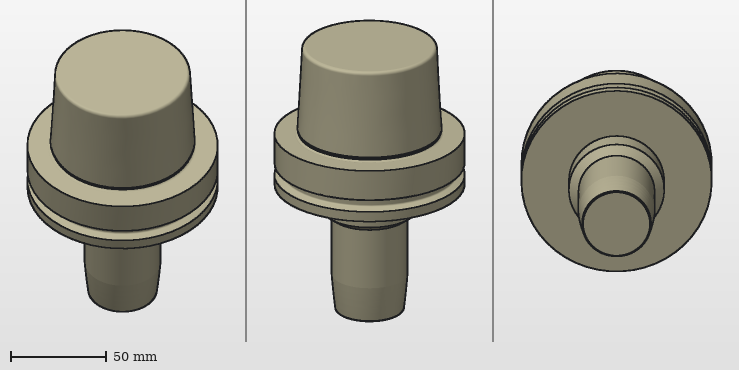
import cadquery as cq
import math

total_height = 149.9
flange_top = 100.0
flange_bottom = 71.0
boss_bottom = 57.0
shank_top = 53.4

flange_radius = 100.0 / 2
boss_radius = 25.0
shank_radius = 40.0 / 2

head_base_radius = 37.9
head_rim_radius = 35.5
rim_round = 2.0
head_base = 102.5
neck_radius = 37.3
neck_top = 101.8
neck_bottom = 100.9
neck_foot_radius = 39.3

groove_top = 83.2
groove_bottom = 76.6
groove_wall_inner_radius = 46.6
groove_wall_drop = 1.2
groove_floor_radius = 45.9
groove_floor_width = 2.2

tip_band_count = 5
tip_band_height = 3.9
tip_first_angle = 4.5
tip_angle_step = 0.5
tip_chamfer_height = 0.6
tip_chamfer_width = 0.6


def tip_points():
    """Outline of the shank tip, from its upper end to the chamfered end face."""
    radius = shank_radius
    height = tip_band_count * tip_band_height + tip_chamfer_height
    points = [(radius, height)]
    for band in range(tip_band_count):
        angle = math.radians(tip_first_angle + band * tip_angle_step)
        radius -= tip_band_height * math.tan(angle)
        height -= tip_band_height
        points.append((radius, height))
    points.append((radius - tip_chamfer_width, 0))
    return points


def add_head(outline):
    """Rounded rim, taper, neck and the concave foot meeting the flange."""
    diagonal = rim_round * math.sqrt(0.5)
    rim_center_radius = head_rim_radius - rim_round
    rim_center_height = total_height - rim_round
    foot_width = neck_foot_radius - neck_radius
    foot_height = neck_bottom - flange_top
    foot_middle = (
        neck_foot_radius - foot_width * math.sqrt(0.5),
        neck_bottom - foot_height * math.sqrt(0.5),
    )
    return (
        outline.lineTo(rim_center_radius, total_height)
        .threePointArc(
            (rim_center_radius + diagonal, rim_center_height + diagonal),
            (head_rim_radius, rim_center_height),
        )
        .lineTo(head_base_radius, head_base)
        .lineTo(neck_radius, neck_top)
        .lineTo(neck_radius, neck_bottom)
        .threePointArc(foot_middle, (neck_foot_radius, flange_top))
    )


def add_flange(outline):
    """Flange with its groove, mirrored about the middle of the groove."""
    middle = (groove_top + groove_bottom) / 2
    floor_top = middle + groove_floor_width / 2
    floor_bottom = middle - groove_floor_width / 2
    return (
        outline.lineTo(flange_radius, flange_top)
        .lineTo(flange_radius, groove_top)
        .lineTo(groove_wall_inner_radius, groove_top - groove_wall_drop)
        .tangentArcPoint((groove_floor_radius, floor_top), relative=False)
        .lineTo(groove_floor_radius, floor_bottom)
        .tangentArcPoint(
            (groove_wall_inner_radius, groove_bottom + groove_wall_drop), relative=False
        )
        .lineTo(flange_radius, groove_bottom)
        .lineTo(flange_radius, flange_bottom)
    )


def add_shank(outline):
    """Boss below the flange, cone to the shank, and the tapered tip."""
    outline = (
        outline.lineTo(boss_radius, flange_bottom)
        .lineTo(boss_radius, boss_bottom)
        .lineTo(shank_radius, shank_top)
    )
    for radius, height in tip_points():
        outline = outline.lineTo(radius, height)
    return outline.lineTo(0, 0)


profile = cq.Workplane("XZ").moveTo(0, total_height)
profile = add_head(profile)
profile = add_flange(profile)
profile = add_shank(profile)
result = profile.close().revolve(360, (0, 0, 0), (0, 1, 0))